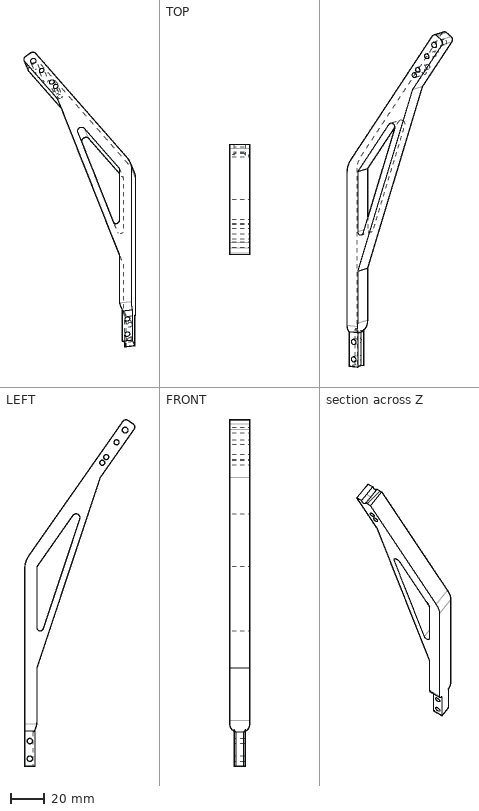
import cadquery as cq
import math

height = 208.6
reach = 66.3
thickness = 12.0

upright_depth = 7.5
lean = math.radians(35)
arm_width = 8.3
tip_radius = 2.3
bend_radius = 13.8

brace_bottom_z = 59.3
brace_top_z = 173.8
brace_width = 4.0
arm_bar_width = 8.0
window_bottom_radius = 1.9
window_top_radius = 2.3

tang_width = 6.9
tang_depth = 6.3
shoulder_z = 20.0
groove_depth = 1.3
groove_floor_width = 4.4

side_round_start_z = 25.5
side_round_radius = 4.8
front_round_start_z = 27.5
front_round_radius = 12.5

tang_hole_diameter = 3.1
tang_hole_y = -3.1
tang_hole_heights = (4.5, 15.2)
tip_hole_diameter = 3.3
tip_hole_inset = 5.8
arm_hole_diameter = 3.0
arm_hole_insets = (14.8, 25.7, 29.8)

along = (-math.sin(lean), math.cos(lean))
across = (-math.cos(lean), -math.sin(lean))


def moved(point, direction, distance):
    return (point[0] + distance * direction[0], point[1] + distance * direction[1])


corner_spacing = arm_width - 2 * tip_radius
lower_tip_y = -reach + tip_radius
upper_tip_centre = (lower_tip_y - corner_spacing * across[0], height - tip_radius)
tip_upper_corner = moved(moved(upper_tip_centre, across, -tip_radius), along, tip_radius)
tip_lower_corner = moved(tip_upper_corner, across, arm_width)

bend_z = tip_upper_corner[1] + tip_upper_corner[0] / math.tan(lean)
brace_top_y = tip_lower_corner[0] + (tip_lower_corner[1] - brace_top_z) * math.tan(lean)
brace_run = -brace_top_y - upright_depth
brace_angle = math.atan2(brace_run, brace_top_z - brace_bottom_z)


def extruded(points):
    """Extrude a closed (Y, Z) outline through the full thickness, centred on X = 0."""
    return cq.Workplane("YZ").polyline(points).close().extrude(thickness / 2, both=True)


def round_edge(body, point, radius):
    """Round the edge along X that passes through a (Y, Z) point."""
    edge = cq.selectors.NearestToPointSelector((0, point[0], point[1]))
    return body.edges("|X").edges(edge).fillet(radius)


def make_frame():
    bend = (0, bend_z)
    frame = extruded([
        (0, shoulder_z),
        bend,
        tip_upper_corner,
        tip_lower_corner,
        (brace_top_y, brace_top_z),
        (-upright_depth, brace_bottom_z),
        (-upright_depth, shoulder_z),
    ])
    frame = round_edge(frame, bend, bend_radius)
    frame = round_edge(frame, tip_upper_corner, tip_radius)
    return round_edge(frame, tip_lower_corner, tip_radius)


def make_window():
    """Triangle between the upright, the arm and the brace, with its two sharp ends rounded."""
    bar_inner_z = bend_z + upright_depth / math.tan(lean) - arm_bar_width / math.sin(lean)
    bottom_z = brace_bottom_z + brace_width / math.sin(brace_angle)
    rise = (bar_inner_z - bottom_z) / (1 / math.tan(brace_angle) - 1 / math.tan(lean))
    bottom = (-upright_depth, bottom_z)
    top = (-upright_depth - rise, bottom_z + rise / math.tan(brace_angle))
    window = extruded([(-upright_depth, bar_inner_z), top, bottom])
    return round_edge(round_edge(window, bottom, window_bottom_radius), top, window_top_radius)


def make_shoulder_envelope():
    """Space that rounds the shoulder on both sides and on the front."""
    side_centre_x = thickness / 2 - side_round_radius
    side_bottom_z = side_round_start_z - side_round_radius
    sides = (
        cq.Workplane("XZ")
        .moveTo(thickness / 2, height)
        .lineTo(thickness / 2, side_round_start_z)
        .radiusArc((side_centre_x, side_bottom_z), side_round_radius)
        .lineTo(-side_centre_x, side_bottom_z)
        .radiusArc((-thickness / 2, side_round_start_z), side_round_radius)
        .lineTo(-thickness / 2, height)
        .close()
        .extrude(reach)
    )
    front_drop = math.sqrt(front_round_radius**2 - (front_round_radius - upright_depth) ** 2)
    front = (
        cq.Workplane("YZ")
        .moveTo(0, height)
        .lineTo(-reach, height)
        .lineTo(-reach, front_round_start_z)
        .lineTo(-upright_depth, front_round_start_z)
        .radiusArc((0, front_round_start_z - front_drop), -front_round_radius)
        .close()
        .extrude(thickness / 2, both=True)
    )
    return sides.intersect(front)


def make_tang():
    """Bar with a shallow groove with sloped walls along its front."""
    floor_y = groove_depth - tang_depth
    section = [
        (-tang_width / 2, 0),
        (-tang_width / 2, -tang_depth),
        (-groove_floor_width / 2, floor_y),
        (groove_floor_width / 2, floor_y),
        (tang_width / 2, -tang_depth),
        (tang_width / 2, 0),
    ]
    return cq.Workplane("XY").polyline(section).close().extrude(front_round_start_z)


def make_hole(centre, diameter):
    hole = cq.Workplane("YZ").center(*centre).circle(diameter / 2)
    return hole.extrude(thickness, both=True)


def arm_position(inset):
    """Point on the arm's centreline at a distance back from the tip."""
    return moved(moved(tip_upper_corner, across, arm_width / 2), along, -inset)


result = make_frame().cut(make_window()).intersect(make_shoulder_envelope()).union(make_tang())
for hole_z in tang_hole_heights:
    result = result.cut(make_hole((tang_hole_y, hole_z), tang_hole_diameter))
result = result.cut(make_hole(arm_position(tip_hole_inset), tip_hole_diameter))
for arm_inset in arm_hole_insets:
    result = result.cut(make_hole(arm_position(arm_inset), arm_hole_diameter))